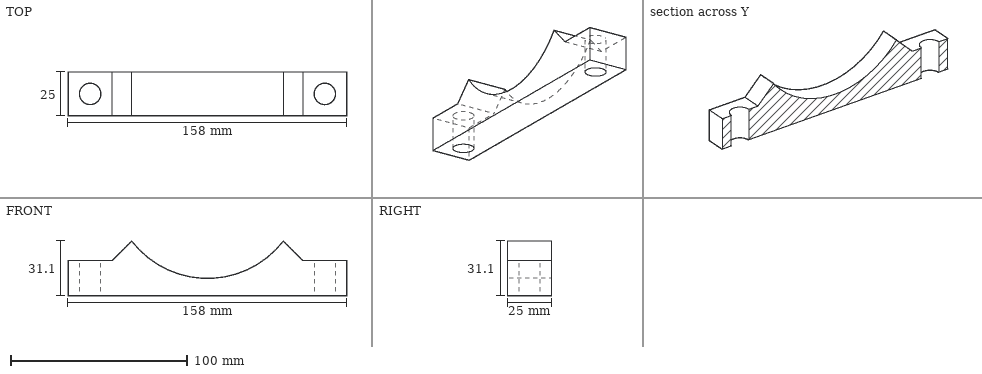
import cadquery as cq

length = 158.0
width = 25.0
crest_height = 31.1

foot_height = 20.0
foot_length = width
hole_diameter = 12.0

cradle_floor = 10.0
foot_inner_x = length / 2 - foot_length
crest_x = foot_inner_x - (crest_height - foot_height)
hole_x = length / 2 - foot_length / 2


def saddle_body():
    """Extrude the side profile, centred on X and Y, resting on Z = 0."""
    return (
        cq.Workplane("XZ")
        .moveTo(-length / 2, 0)
        .lineTo(length / 2, 0)
        .lineTo(length / 2, foot_height)
        .lineTo(foot_inner_x, foot_height)
        .lineTo(crest_x, crest_height)
        .threePointArc((0, cradle_floor), (-crest_x, crest_height))
        .lineTo(-foot_inner_x, foot_height)
        .lineTo(-length / 2, foot_height)
        .close()
        .extrude(width / 2, both=True)
    )


def bolt_holes():
    """One vertical through hole in the middle of each foot."""
    return (
        cq.Workplane("XY")
        .pushPoints([(-hole_x, 0), (hole_x, 0)])
        .circle(hole_diameter / 2)
        .extrude(foot_height)
    )


result = saddle_body().cut(bolt_holes())